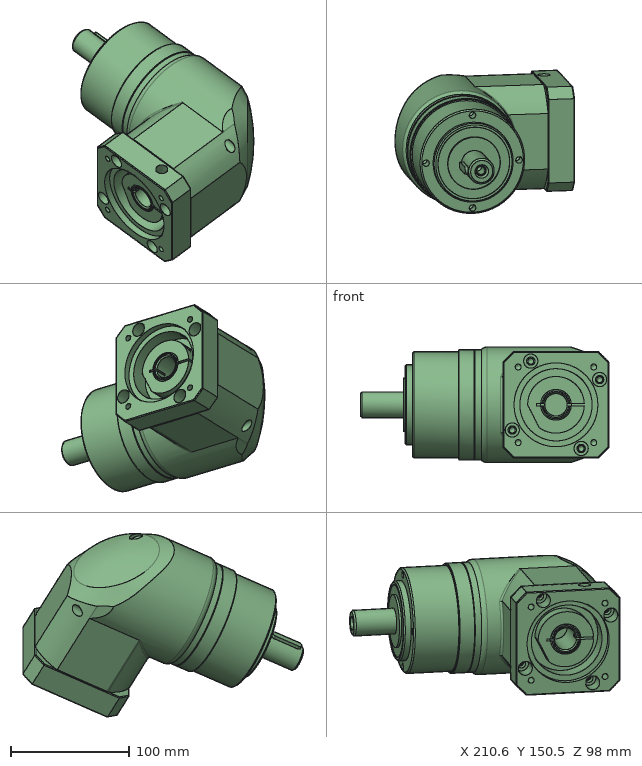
import cadquery as cq
import math


SHAFT_RADIUS = 11.0
SHAFT_CHAMFER = 1.5
SEAL_X = 36.4
SEAL_RADIUS = 22.5
PILOT_X = 37.8
PILOT_RADIUS = 34.0
PILOT_CHAMFER = 1.2
PILOT_RECESS_RADIUS = 30.8
PILOT_RECESS_DEPTH = 0.5
FACE_X = 44.0
STAGE_RADIUS = 45.0
STAGE_CHAMFER = 1.3
RING_X = 83.0
RING_RADIUS = 46.8
RING_CHAMFER = 0.7
SEAM_X = 96.4
SEAM_WIDTH = 0.5
SEAM_DEPTH = 0.5

CENTRE_HOLE_RADIUS = 3.4
CENTRE_HOLE_DEPTH = 20.0
CENTRE_RELIEF_RADIUS = 4.3
CENTRE_RELIEF_DEPTH = 4.0
CENTRE_SINK_RADIUS = 5.8
CENTRE_SINK_HALF_ANGLE = math.radians(30)
KEY_START = 3.6
KEY_LENGTH = 28.0
KEY_WIDTH = 6.0
KEY_HEIGHT = 6.0
KEY_TOP = 13.5
FACE_HOLE_CIRCLE_RADIUS = 40.0
FACE_HOLE_DIAMETER = 5.5
FACE_HOLE_DEPTH = 12.0

ELBOW_X = 101.2
ELBOW_RADIUS = 49.0
ELBOW_FILLET = 5.8
MOTOR_SIZE = 90.0
MOTOR_HALF = MOTOR_SIZE / 2
MOTOR_X = 165.6
BLOCK_ROUND_RADIUS = 51.0
NECK_FILLET = 2.0
NECK_END_Y = -21.0
SELECT_MARGIN = 1.0
BARREL_END_SLOPE_START = 178.0
BARREL_END_SLOPE_END = MOTOR_X + math.sqrt(BLOCK_ROUND_RADIUS**2 - MOTOR_HALF**2)
BLOCK_TOP_Y = 19.0

BACK_DISTANCE = 141.2
BACK_SIDE_OFFSET = 117.2
BACK_RIM_RADIUS = 38.0
DOME_RISE = 5.5
TAPER_LENGTH = 32.0
TAPER_BASE_LONG = 122.0
TAPER_BASE_SHORT = 65.0
BACK_DEPTH = 260.0
BACK_RECESS_SIDE = 17.5
BACK_RECESS_Z = 27.0
BACK_RECESS_DIAMETER = 11.0
BACK_RECESS_FLOOR = 2.0
SIDE_HOLE_DIAMETER = 8.0
SIDE_HOLE_Y = -21.6
SIDE_HOLE_Z = 37.2
SIDE_HOLE_DEPTH = 25.0

PLATE_FRONT_Y = -101.5
PLATE_THICKNESS = 23.0
PLATE_BACK_Y = PLATE_FRONT_Y + PLATE_THICKNESS
PLATE_CORNER_CUT = 9.0
PLATE_EDGE_CHAMFER = 0.8
REGISTER_RADIUS = 35.5
REGISTER_DEPTH = 6.0
PLATE_BORE_RADIUS = 30.6
MOTOR_HOLE_OFFSET = 32.0
MOTOR_HOLE_DIAMETER = 5.0
MOTOR_HOLE_DEPTH = 18.0
SCREW_CIRCLE_RADIUS = 42.7
SCREW_FIRST_ANGLE = 30.0
SCREW_HEAD_DIAMETER = 12.0
SCREW_HEAD_DEPTH = 16.0
SCREW_CLEARANCE_DIAMETER = 7.0
SCREW_TAP_DIAMETER = 5.0
SCREW_TAP_DEPTH = 12.0
DRILL_POINT_HALF_ANGLE = math.radians(59)
ACCESS_DIAMETER = 10.0

HUB_DEPTH = 9.2
HUB_FRONT_Y = PLATE_FRONT_Y + HUB_DEPTH
SLEEVE_RADIUS = 13.0
SLEEVE_BORE_RADIUS = 9.5
SLEEVE_CHAMFER = 1.2
SLEEVE_BORE_DEPTH = 40.0
SLOT_WIDTH = 1.8
CLAMP_RADIUS = 24.0
CLAMP_BACK_GAP = 1.0
CLAMP_LENGTH = PLATE_BACK_Y - CLAMP_BACK_GAP - HUB_FRONT_Y
FLAT_START_ANGLE = 180.0
FLAT_END_ANGLE = 233.5
RELIEF_SLOT_END = 16.5
CLAMP_SCREW_OFFSET = 17.4
CLAMP_SCREW_Y = -86.1
CLAMP_SCREW_DIAMETER = 6.8
CLAMP_SCREW_FLOOR_Z = 6.0


def motor_plane(y):
    """Sketch plane on the motor axis facing -Y: local x is X, local y is Z."""
    return cq.Workplane("XZ", origin=(MOTOR_X, y, 0))


def drill(point, direction, diameter, depth):
    """Cylinder used as a drilled hole."""
    solid = cq.Solid.makeCylinder(diameter / 2, depth, cq.Vector(*point), cq.Vector(*direction))
    return cq.Workplane(obj=solid)


def drill_blind(point, direction, diameter, depth):
    """Blind drilled hole ending in a conical drill point."""
    tip = cq.Vector(*point) + cq.Vector(*direction) * depth
    tip_length = diameter / 2 / math.tan(DRILL_POINT_HALF_ANGLE)
    cone = cq.Solid.makeCone(diameter / 2, 0, tip_length, tip, cq.Vector(*direction))
    return drill(point, direction, diameter, depth).union(cq.Workplane(obj=cone))


def quarter_points(radius, first_angle):
    """Four points spaced 90 degrees apart on a circle."""
    angles = [math.radians(first_angle + 90 * i) for i in range(4)]
    return [(radius * math.cos(a), radius * math.sin(a)) for a in angles]


SCREW_POINTS = quarter_points(SCREW_CIRCLE_RADIUS, SCREW_FIRST_ANGLE)


def make_output_stage():
    """Shaft, seal, pilot and ring gear turned as one profile, reaching into the elbow."""
    profile = (
        cq.Workplane("XY")
        .moveTo(0, 0)
        .lineTo(0, SHAFT_RADIUS - SHAFT_CHAMFER)
        .lineTo(SHAFT_CHAMFER, SHAFT_RADIUS)
        .lineTo(SEAL_X, SHAFT_RADIUS)
        .lineTo(SEAL_X, SEAL_RADIUS)
        .lineTo(PILOT_X + PILOT_RECESS_DEPTH, SEAL_RADIUS)
        .lineTo(PILOT_X + PILOT_RECESS_DEPTH, PILOT_RECESS_RADIUS)
        .lineTo(PILOT_X, PILOT_RECESS_RADIUS)
        .lineTo(PILOT_X, PILOT_RADIUS - PILOT_CHAMFER)
        .lineTo(PILOT_X + PILOT_CHAMFER, PILOT_RADIUS)
        .lineTo(FACE_X, PILOT_RADIUS)
        .lineTo(FACE_X, STAGE_RADIUS - STAGE_CHAMFER)
        .lineTo(FACE_X + STAGE_CHAMFER, STAGE_RADIUS)
        .lineTo(RING_X, STAGE_RADIUS)
        .lineTo(RING_X, RING_RADIUS - RING_CHAMFER)
        .lineTo(RING_X + RING_CHAMFER, RING_RADIUS)
        .lineTo(SEAM_X, RING_RADIUS)
        .lineTo(SEAM_X, RING_RADIUS - SEAM_DEPTH)
        .lineTo(SEAM_X + SEAM_WIDTH, RING_RADIUS - SEAM_DEPTH)
        .lineTo(SEAM_X + SEAM_WIDTH, RING_RADIUS)
        .lineTo(ELBOW_X + ELBOW_FILLET, RING_RADIUS)
        .lineTo(ELBOW_X + ELBOW_FILLET, 0)
        .close()
    )
    return profile.revolve(360, (0, 0, 0), (1, 0, 0))


def make_barrel():
    """Round output side of the elbow, sloped down at its far end above and below the block."""
    length = BARREL_END_SLOPE_END - ELBOW_X
    barrel = cq.Workplane("YZ", origin=(ELBOW_X, 0, 0)).circle(ELBOW_RADIUS).extrude(length)
    barrel = barrel.faces("<X").edges().fillet(ELBOW_FILLET)
    side_outline = (
        cq.Workplane("XZ")
        .moveTo(ELBOW_X, ELBOW_RADIUS)
        .lineTo(BARREL_END_SLOPE_START, ELBOW_RADIUS)
        .lineTo(BARREL_END_SLOPE_END, MOTOR_HALF)
        .lineTo(BARREL_END_SLOPE_END, -MOTOR_HALF)
        .lineTo(BARREL_END_SLOPE_START, -ELBOW_RADIUS)
        .lineTo(ELBOW_X, -ELBOW_RADIUS)
        .close()
        .extrude(ELBOW_RADIUS, both=True)
    )
    return barrel.intersect(side_outline)


def back_plane(distance):
    """Sketch plane square to the +X +Y diagonal; local x leans to +Y, local y is Z."""
    diagonal = math.sqrt(0.5)
    origin = ((distance + BACK_SIDE_OFFSET) * diagonal, (distance - BACK_SIDE_OFFSET) * diagonal, 0)
    return cq.Workplane(cq.Plane(origin=origin, xDir=(-1, 1, 0), normal=(1, 1, 0)))


def make_back_envelope():
    """Space that the elbow may fill: dome cap, tapered skirt and everything behind it."""
    skirt = (
        back_plane(BACK_DISTANCE - TAPER_LENGTH)
        .ellipse(TAPER_BASE_LONG, TAPER_BASE_SHORT)
        .workplane(offset=TAPER_LENGTH)
        .circle(BACK_RIM_RADIUS)
        .loft(ruled=True)
    )
    dome_radius = (BACK_RIM_RADIUS**2 + DOME_RISE**2) / (2 * DOME_RISE)
    ball = back_plane(BACK_DISTANCE + DOME_RISE - dome_radius).sphere(dome_radius)
    cap = back_plane(BACK_DISTANCE).circle(2 * BACK_RIM_RADIUS).extrude(2 * DOME_RISE).intersect(ball)
    behind = back_plane(BACK_DISTANCE - TAPER_LENGTH).rect(2 * BACK_DEPTH, BACK_DEPTH).extrude(-BACK_DEPTH)
    return skirt.union(cap).union(behind)


def make_elbow():
    """Round output barrel meeting the square motor block, closed by a domed diagonal back."""
    block_length = PLATE_BACK_Y - BLOCK_TOP_Y
    block = motor_plane(PLATE_BACK_Y).rect(MOTOR_SIZE, MOTOR_SIZE).extrude(block_length)
    block = block.intersect(motor_plane(PLATE_BACK_Y).circle(BLOCK_ROUND_RADIUS).extrude(block_length))
    neck_edges = cq.selectors.BoxSelector(
        (MOTOR_X - MOTOR_HALF - SELECT_MARGIN, -ELBOW_RADIUS - SELECT_MARGIN, -MOTOR_HALF),
        (MOTOR_X - MOTOR_HALF / 2, NECK_END_Y, MOTOR_HALF),
    )
    elbow = make_barrel().union(block).edges(neck_edges).fillet(NECK_FILLET)
    return elbow.intersect(make_back_envelope())


def make_sleeve():
    """Slotted input sleeve standing on the elbow inside the adapter plate."""
    length = HUB_FRONT_Y - PLATE_BACK_Y
    sleeve = motor_plane(PLATE_BACK_Y).circle(SLEEVE_RADIUS).extrude(-length)
    sleeve = sleeve.faces("<Y").edges().chamfer(SLEEVE_CHAMFER)
    slot = motor_plane(HUB_FRONT_Y).rect(2 * SLEEVE_RADIUS, SLOT_WIDTH).extrude(-CLAMP_LENGTH)
    return sleeve.cut(slot)


def make_sleeve_bore():
    """Blind motor shaft bore with a chamfered mouth."""
    bore = motor_plane(HUB_FRONT_Y).circle(SLEEVE_BORE_RADIUS).extrude(-SLEEVE_BORE_DEPTH)
    mouth = cq.Solid.makeCone(
        SLEEVE_BORE_RADIUS + SLEEVE_CHAMFER,
        SLEEVE_BORE_RADIUS,
        SLEEVE_CHAMFER,
        cq.Vector(MOTOR_X, HUB_FRONT_Y, 0),
        cq.Vector(0, 1, 0),
    )
    return bore.union(cq.Workplane(obj=mouth))


def make_shaft_centre():
    """Threaded centre hole in the shaft tip with a relief and a 60 degree countersink."""
    sink_depth = (CENTRE_SINK_RADIUS - CENTRE_RELIEF_RADIUS) / math.tan(CENTRE_SINK_HALF_ANGLE)
    point_length = CENTRE_HOLE_RADIUS / math.tan(DRILL_POINT_HALF_ANGLE)
    profile = (
        cq.Workplane("XY")
        .lineTo(0, CENTRE_SINK_RADIUS)
        .lineTo(sink_depth, CENTRE_RELIEF_RADIUS)
        .lineTo(CENTRE_RELIEF_DEPTH, CENTRE_RELIEF_RADIUS)
        .lineTo(CENTRE_RELIEF_DEPTH, CENTRE_HOLE_RADIUS)
        .lineTo(CENTRE_HOLE_DEPTH, CENTRE_HOLE_RADIUS)
        .lineTo(CENTRE_HOLE_DEPTH + point_length, 0)
        .close()
    )
    return profile.revolve(360, (0, 0, 0), (1, 0, 0))


def make_key():
    """Round-ended parallel key lying in the +Y side of the shaft."""
    key = cq.Workplane("XZ", origin=(KEY_START + KEY_LENGTH / 2, KEY_TOP, 0))
    return key.slot2D(KEY_LENGTH, KEY_WIDTH).extrude(KEY_HEIGHT)


def make_gearbox():
    """Output stage, elbow and input sleeve as one body with all of its holes."""
    gearbox = make_elbow().union(make_output_stage()).union(make_sleeve())
    gearbox = gearbox.cut(make_sleeve_bore()).cut(make_shaft_centre()).cut(make_key())
    for y, z in quarter_points(FACE_HOLE_CIRCLE_RADIUS, 0):
        gearbox = gearbox.cut(drill_blind((FACE_X, y, z), (1, 0, 0), FACE_HOLE_DIAMETER, FACE_HOLE_DEPTH))
    for side in (1, -1):
        start = (MOTOR_X + MOTOR_HALF, SIDE_HOLE_Y, side * SIDE_HOLE_Z)
        gearbox = gearbox.cut(drill(start, (-1, 0, 0), SIDE_HOLE_DIAMETER, SIDE_HOLE_DEPTH))
    for x, z in SCREW_POINTS:
        start = (MOTOR_X + x, PLATE_BACK_Y, z)
        gearbox = gearbox.cut(drill_blind(start, (0, 1, 0), SCREW_TAP_DIAMETER, SCREW_TAP_DEPTH))
    recess = back_plane(BACK_DISTANCE - BACK_RECESS_FLOOR).center(BACK_RECESS_SIDE, BACK_RECESS_Z)
    return gearbox.cut(recess.circle(BACK_RECESS_DIAMETER / 2).extrude(BACK_RECESS_FLOOR + DOME_RISE))


def make_adapter_plate():
    """Square motor flange with cut corners, a register, and two sets of four holes."""
    plate = motor_plane(PLATE_FRONT_Y).rect(MOTOR_SIZE, MOTOR_SIZE).extrude(-PLATE_THICKNESS)
    plate = plate.edges("|Y").chamfer(PLATE_CORNER_CUT)
    plate = plate.faces("<Y or >Y").edges().chamfer(PLATE_EDGE_CHAMFER)
    front = motor_plane(PLATE_FRONT_Y)
    plate = plate.cut(front.circle(REGISTER_RADIUS).extrude(-REGISTER_DEPTH))
    plate = plate.cut(front.circle(PLATE_BORE_RADIUS).extrude(-PLATE_THICKNESS))
    for x in (-MOTOR_HOLE_OFFSET, MOTOR_HOLE_OFFSET):
        for z in (-MOTOR_HOLE_OFFSET, MOTOR_HOLE_OFFSET):
            start = (MOTOR_X + x, PLATE_FRONT_Y, z)
            plate = plate.cut(drill_blind(start, (0, 1, 0), MOTOR_HOLE_DIAMETER, MOTOR_HOLE_DEPTH))
    screws = front.pushPoints(SCREW_POINTS)
    plate = plate.cut(screws.circle(SCREW_HEAD_DIAMETER / 2).extrude(-SCREW_HEAD_DEPTH))
    plate = plate.cut(screws.circle(SCREW_CLEARANCE_DIAMETER / 2).extrude(-PLATE_THICKNESS))
    access = (MOTOR_X + CLAMP_SCREW_OFFSET, CLAMP_SCREW_Y, MOTOR_HALF)
    return plate.cut(drill(access, (0, 0, -1), ACCESS_DIAMETER, MOTOR_HALF))


def make_clamp_ring():
    """Slit clamp ring around the sleeve, with one flat and a cross screw hole."""
    start, middle, end = [
        (CLAMP_RADIUS * math.cos(math.radians(a)), CLAMP_RADIUS * math.sin(math.radians(a)))
        for a in (FLAT_START_ANGLE, 0, FLAT_END_ANGLE)
    ]
    front = motor_plane(HUB_FRONT_Y)
    ring = front.moveTo(*start).threePointArc(middle, end).close().extrude(-CLAMP_LENGTH)
    ring = ring.cut(front.circle(SLEEVE_RADIUS).extrude(-CLAMP_LENGTH))
    slit_length = RELIEF_SLOT_END + CLAMP_RADIUS
    slit = front.center(slit_length / 2 - RELIEF_SLOT_END, 0).rect(slit_length, SLOT_WIDTH)
    ring = ring.cut(slit.extrude(-CLAMP_LENGTH))
    screw_top = (MOTOR_X + CLAMP_SCREW_OFFSET, CLAMP_SCREW_Y, CLAMP_RADIUS)
    return ring.cut(drill(screw_top, (0, 0, -1), CLAMP_SCREW_DIAMETER, CLAMP_RADIUS - CLAMP_SCREW_FLOOR_Z))


gearbox = make_gearbox()
key = make_key()
adapter_plate = make_adapter_plate()
clamp_ring = make_clamp_ring()

result = cq.Compound.makeCompound([gearbox.val(), key.val(), adapter_plate.val(), clamp_ring.val()])